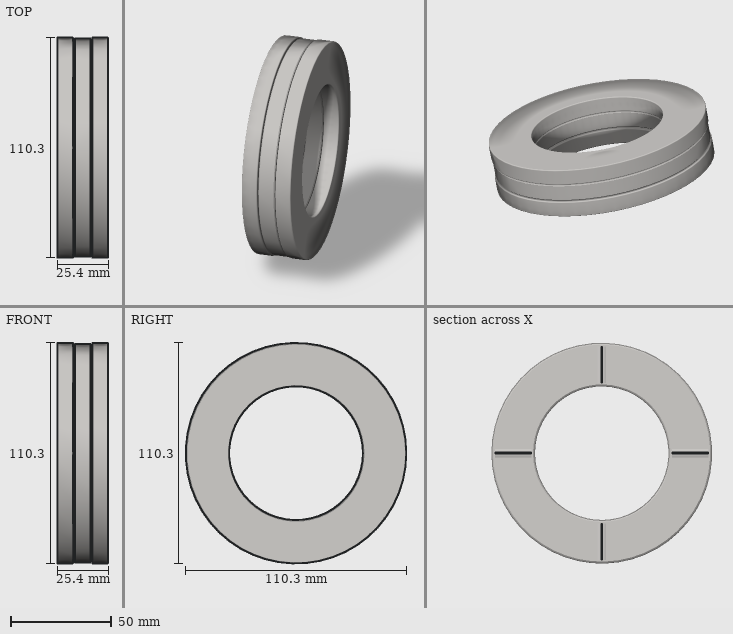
import cadquery as cq

overall_width = 25.4
outer_diameter = 110.33
bore_diameter = 66.675
edge_size = 0.508
roller_diameter = 9.525
roller_length = 18.2
roller_count = 4
cage_width = 8.5

washer_width = (overall_width - roller_diameter) / 2
cage_outer_diameter = outer_diameter - 2 * edge_size
cage_bore_diameter = bore_diameter + 2 * edge_size
pitch_radius = (outer_diameter + bore_diameter) / 4


def ring(start_x, width, outside_diameter, inside_diameter):
    """Plain ring around the X axis, from start_x towards +X."""
    return (
        cq.Workplane("YZ", origin=(start_x, 0, 0))
        .circle(outside_diameter / 2)
        .circle(inside_diameter / 2)
        .extrude(width)
    )


def washer(start_x):
    """Flat washer with all four rims rounded."""
    blank = ring(start_x, washer_width, outer_diameter, bore_diameter)
    return blank.faces("<X or >X").edges().fillet(edge_size)


def roller(angle):
    """Radial roller, turned about the X axis by angle degrees from +Z."""
    upright = (
        cq.Workplane("XY", origin=(0, 0, pitch_radius - roller_length / 2))
        .circle(roller_diameter / 2)
        .extrude(roller_length)
    )
    return upright.rotate((0, 0, 0), (1, 0, 0), angle)


def roller_cage(rollers):
    """Chamfered ring with one close-fitting pocket for each roller."""
    body = ring(-cage_width / 2, cage_width, cage_outer_diameter, cage_bore_diameter)
    body = body.faces("<X or >X").edges().chamfer(edge_size)
    for pocket in rollers:
        body = body.cut(pocket)
    return body


left_washer = washer(-overall_width / 2)
right_washer = washer(roller_diameter / 2)

rollers = [roller(i * 360 / roller_count) for i in range(roller_count)]
cage = roller_cage(rollers)

bodies = [left_washer, right_washer, cage, *rollers]
result = cq.Compound.makeCompound([body.solids().val() for body in bodies])